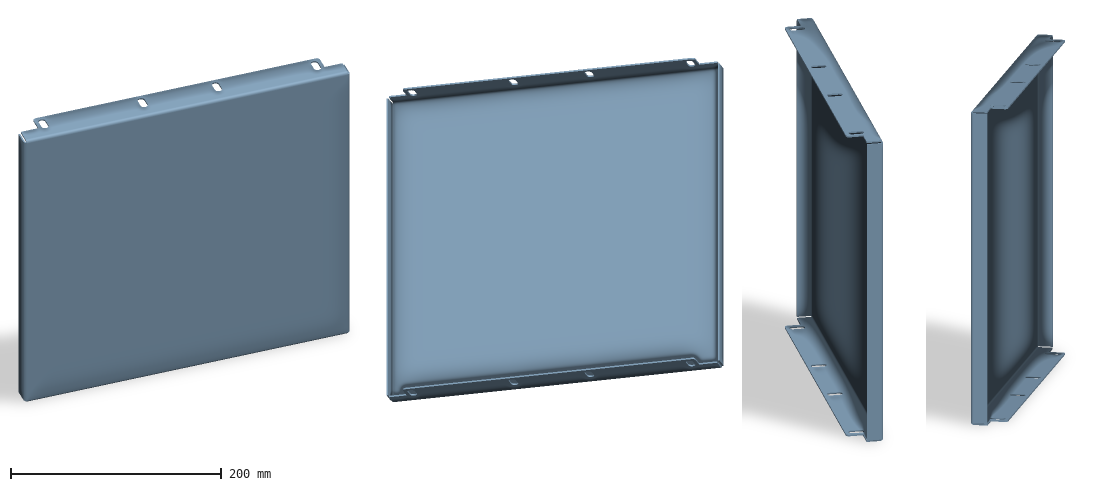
import cadquery as cq

DEPTH = 32.0
WIDTH = 329.0
HEIGHT = 306.0
SHEET = 1.5
INNER_BEND = 1.5
OUTER_BEND = INNER_BEND + SHEET

SHORT_DEPTH = 16.0

TAB_LENGTH = 289.0
TAB_CORNER_RADIUS = 3.0

CORNER_GAP = 0.7
CORNER_RELIEF = SHEET + CORNER_GAP

SLOT_LENGTH = 15.0
SLOT_WIDTH = 7.0
SLOT_FROM_TIP = 11.0
INNER_SLOT_SPACING = 75.0
OUTER_SLOT_SPACING = 275.0

SHORT_TIP_X = DEPTH - SHORT_DEPTH


def make_tray():
    """Full-depth tray, open toward -X, with rounded bends around the panel."""
    outer = cq.Workplane("XY").box(DEPTH, WIDTH, HEIGHT, centered=(False, True, True))
    outer = outer.faces(">X").edges().fillet(OUTER_BEND)
    cavity = cq.Workplane("XY").box(
        DEPTH - SHEET, WIDTH - 2 * SHEET, HEIGHT - 2 * SHEET, centered=(False, True, True)
    )
    cavity = cavity.faces(">X").edges().fillet(INNER_BEND)
    return outer.cut(cavity)


def make_flange_outline():
    """Vertical prism bounding the stepped outline of the flanges."""
    back = cq.Workplane("XY").box(SHORT_DEPTH, WIDTH, HEIGHT, centered=(False, True, True))
    back = back.translate((SHORT_TIP_X, 0, 0))
    tab = cq.Workplane("XY").box(DEPTH, TAB_LENGTH, HEIGHT, centered=(False, True, True))
    tab = tab.edges("|Z and <X").fillet(TAB_CORNER_RADIUS)
    return back.union(tab)


def make_corner_reliefs():
    """Square columns along X at the four corners."""
    return (
        cq.Workplane("YZ")
        .rect(WIDTH - CORNER_RELIEF, HEIGHT - CORNER_RELIEF, forConstruction=True)
        .vertices()
        .rect(CORNER_RELIEF, CORNER_RELIEF)
        .extrude(DEPTH)
    )


def make_slots():
    """Slot cutters passing through both the top and bottom flanges."""
    centres = []
    for spacing in (INNER_SLOT_SPACING, OUTER_SLOT_SPACING):
        for side in (-1, 1):
            centres.append((SLOT_FROM_TIP, side * spacing / 2))
    return (
        cq.Workplane("XY")
        .workplane(offset=-HEIGHT / 2)
        .pushPoints(centres)
        .slot2D(SLOT_LENGTH, SLOT_WIDTH)
        .extrude(HEIGHT)
    )


result = make_tray().intersect(make_flange_outline())
result = result.cut(make_corner_reliefs()).cut(make_slots())